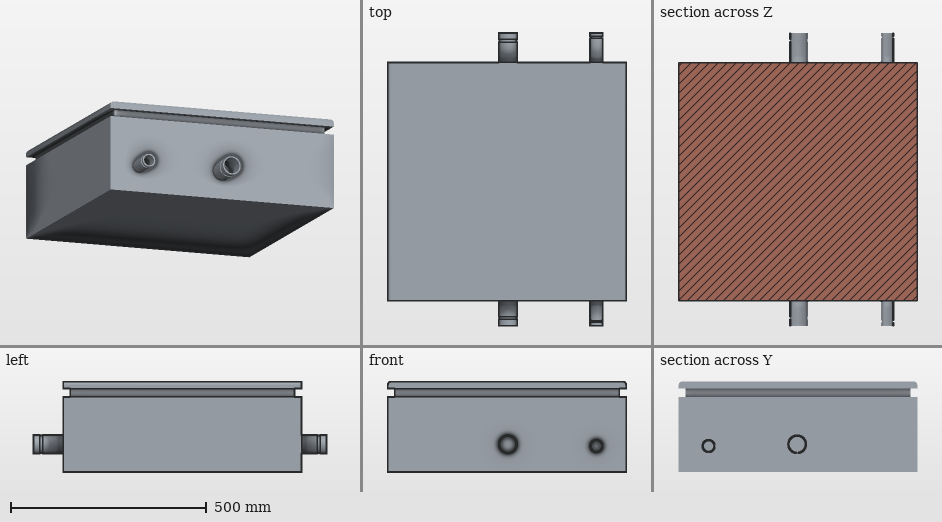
import cadquery as cq

side = 610.0
body_height = 192.5
neck_height = 21.0
lid_height = 18.0
neck_inset = 18.0
lid_edge_radius = 9.0

overall_length = 749.0
front_reach = 64.0
back_reach = overall_length - side - front_reach

large_x = 2.0
large_z = 71.0
large_diameter = 48.0
large_groove_diameter = 45.0
large_bore_diameter = 41.0
large_rim_length = 16.5
large_groove_width = 7.5

small_x = 228.5
small_z = 67.0
small_diameter = 34.0
small_groove_diameter = 28.5
small_bore_diameter = 27.0
small_rim_length = 9.0
small_groove_width = 4.5


def square_block(width, bottom, height):
    """Square block centred on the Z axis, resting at the given height."""
    block = cq.Workplane("XY").box(width, width, height, centered=(True, True, False))
    return block.translate((0, 0, bottom))


def enclosure():
    """Box, neck and lid; the lid is rounded along its left and right top edges."""
    body = square_block(side, 0, body_height)
    neck = square_block(side - 2 * neck_inset, body_height, neck_height)
    lid = square_block(side, body_height + neck_height, lid_height)
    lid = lid.faces(">Z").edges("|Y").fillet(lid_edge_radius)
    return body.union(neck).union(lid)


def pipe_stub(reach, outer, groove, bore, rim_length, groove_width):
    """Open stub along +Z with a clamp groove behind its end rim."""
    groove_end = reach - rim_length
    groove_start = groove_end - groove_width
    profile = (
        cq.Workplane("XZ")
        .moveTo(bore / 2, 0)
        .lineTo(outer / 2, 0)
        .lineTo(outer / 2, groove_start)
        .lineTo(groove / 2, groove_start)
        .lineTo(groove / 2, groove_end)
        .lineTo(outer / 2, groove_end)
        .lineTo(outer / 2, reach)
        .lineTo(bore / 2, reach)
        .close()
    )
    return profile.revolve(360, (0, 0, 0), (0, 1, 0))


def pipe_pair(x, z, *sizes):
    """The front and back stubs of one pipe."""
    front = pipe_stub(front_reach, *sizes).rotate((0, 0, 0), (1, 0, 0), 90)
    back = pipe_stub(back_reach, *sizes).rotate((0, 0, 0), (1, 0, 0), -90)
    front = front.translate((x, -side / 2, z))
    back = back.translate((x, side / 2, z))
    return front, back


large_pipes = pipe_pair(
    large_x,
    large_z,
    large_diameter,
    large_groove_diameter,
    large_bore_diameter,
    large_rim_length,
    large_groove_width,
)
small_pipes = pipe_pair(
    small_x,
    small_z,
    small_diameter,
    small_groove_diameter,
    small_bore_diameter,
    small_rim_length,
    small_groove_width,
)

result = enclosure()
for stub in large_pipes + small_pipes:
    result = result.union(stub)